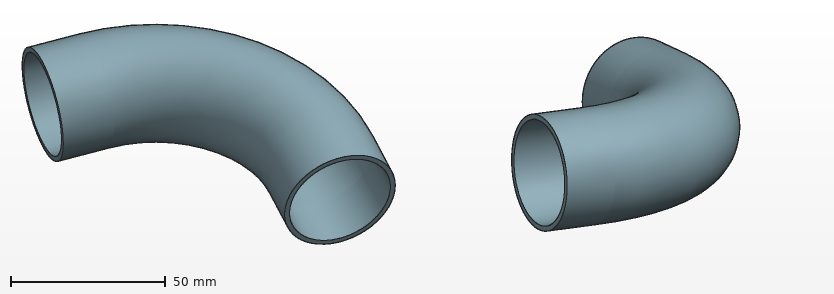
import cadquery as cq

overall_length = 93.7
outer_diameter = 38.1
inner_diameter = 34.8
straight_length = 17.6
bend_angle = 90

bend_radius = overall_length - outer_diameter / 2 - straight_length
end_distance = bend_radius + straight_length



def tube_section(origin, x_direction, normal):
    """Ring-shaped cross section of the tube, square to the given normal."""
    plane = cq.Plane(origin=origin, xDir=x_direction, normal=normal)
    return cq.Workplane(plane).circle(outer_diameter / 2).circle(inner_diameter / 2)


def first_straight():
    """Straight along +Y, starting at the open end at the origin."""
    return tube_section((0, 0, 0), (1, 0, 0), (0, 1, 0)).extrude(straight_length)


def bend():
    """Quarter torus about a vertical axis, bend_radius to the +X side of the first straight."""
    section = tube_section((0, straight_length, 0), (1, 0, 0), (0, -1, 0))
    return section.revolve(bend_angle, (bend_radius, 0, 0), (bend_radius, -1, 0))


def second_straight():
    """Straight from the open end on the +X side back to the bend."""
    return tube_section((end_distance, end_distance, 0), (0, 1, 0), (-1, 0, 0)).extrude(straight_length)


result = first_straight().union(bend()).union(second_straight())